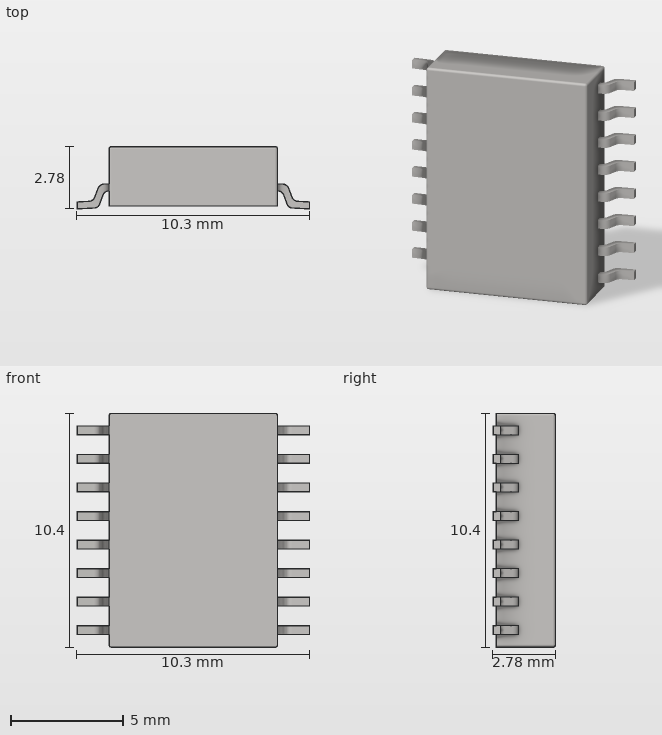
import cadquery as cq
import math

body_width = 7.5
body_depth = 2.65
body_height = 10.41
body_edge_radius = 0.115

overall_width = 10.34
standoff = 0.13
leads_per_side = 8
lead_pitch = 1.27
lead_width = 0.40
lead_thickness = 0.32
shoulder_radius = 0.33
bend_radius = 0.27
arm_top = 1.12
leg_lean = math.radians(20.5)
foot_tilt = math.radians(3)
foot_length = 0.94
arm_embed = 0.3


def make_body():
    """Block with rounded edges everywhere except around its flat -Y face."""
    block = cq.Workplane("XY").box(body_width, body_depth, body_height)
    rounded = block.edges("|Y").fillet(body_edge_radius).faces(">Y").edges().fillet(body_edge_radius)
    return rounded.translate((0, standoff + body_depth / 2, 0))


def round_bends(lead, corners, radius):
    """Fillet the lead's Z-direction edges that pass through the given (x, y) corners."""
    for x, y in corners:
        lead = lead.edges(cq.selectors.NearestToPointSelector((x, y, 0))).fillet(radius)
    return lead


def make_lead():
    """Gull-wing lead on the +X side, centred on Z = 0."""
    arm_start = body_width / 2 - arm_embed
    tip = overall_width / 2
    arm_bottom = arm_top - lead_thickness
    foot_slope = math.tan(foot_tilt)
    leg_slope = math.tan(leg_lean)
    tip_top = lead_thickness / math.cos(foot_tilt)

    heel_x = tip - foot_length
    heel_y = foot_length * foot_slope

    leg_span = lead_thickness / math.cos(leg_lean)
    knee_x = heel_x - (arm_bottom - heel_y) * leg_slope
    shoulder_x = heel_x + leg_span - (arm_top - heel_y) * leg_slope

    outer_at_zero = heel_x + leg_span + heel_y * leg_slope
    instep_y = (tip_top + (tip - outer_at_zero) * foot_slope) / (1 - leg_slope * foot_slope)
    instep_x = outer_at_zero - instep_y * leg_slope

    profile = [
        (arm_start, arm_top),
        (shoulder_x, arm_top),
        (instep_x, instep_y),
        (tip, tip_top),
        (tip, 0),
        (heel_x, heel_y),
        (knee_x, arm_bottom),
        (arm_start, arm_bottom),
    ]
    lead = cq.Workplane("XY").polyline(profile).close().extrude(lead_width / 2, both=True)
    lead = round_bends(lead, [(shoulder_x, arm_top)], shoulder_radius)
    other_bends = [(instep_x, instep_y), (heel_x, heel_y), (knee_x, arm_bottom)]
    return round_bends(lead, other_bends, bend_radius)


result = make_body()
right_lead = make_lead()
left_lead = right_lead.mirror("YZ")
for index in range(leads_per_side):
    lead_z = (index - (leads_per_side - 1) / 2) * lead_pitch
    for lead in (left_lead, right_lead):
        result = result.union(lead.translate((0, 0, lead_z)))